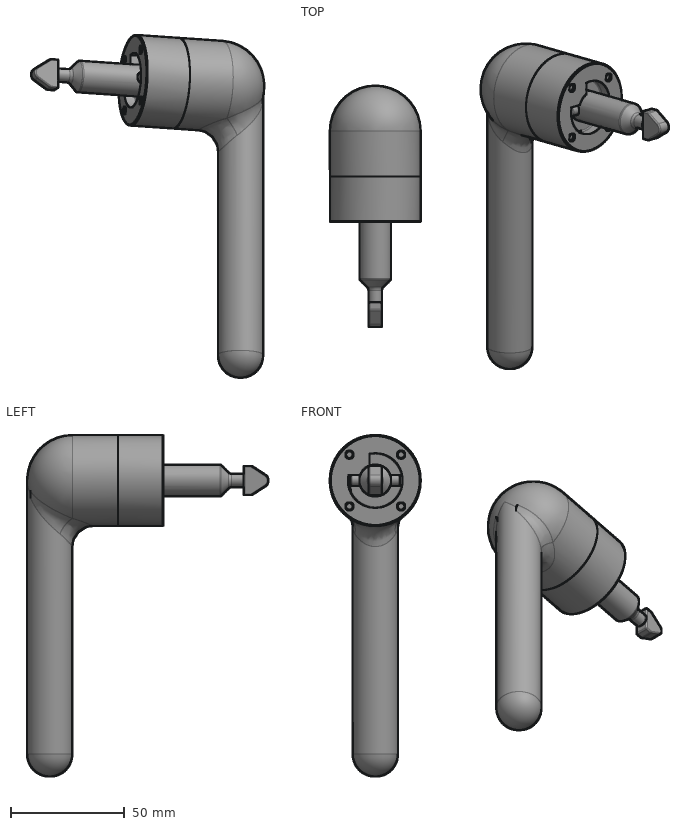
import cadquery as cq
import math

total_height = 150.0
total_length = 106.0
barrel_radius = 60 / 3
barrel_length = barrel_radius
collar_length = barrel_radius

grip_radius = barrel_radius / 2
grip_fillet = 9.0

shaft_radius = 7.0
shaft_reach = 25.0
shaft_edge_fillet = 0.8
neck_radius = 3.0
neck_fillet = 2.0
head_reach = 35.1
head_half_height = 6.5
head_thickness = 2 * neck_radius
head_tip_radius = 3.0
head_slope = math.radians(33)
head_corner_fillet = 1.5
head_edge_fillet = 0.6

pin_radius = 2.5
pin_half_length = 10.8
pin_edge_fillet = 0.5

collar_chamfer = 0.5
recess_radius = 12.0
recess_depth = 2 * pin_radius
recess_fillet = 0.5
screw_count = 4
screw_circle_radius = 16.0
screw_hole_radius = 1.5
screw_hole_depth = 0.9
screw_hole_chamfer = 0.3

dome_center_y = collar_length + barrel_length
dome_end_y = dome_center_y + barrel_radius
grip_center_y = dome_end_y - grip_radius
grip_end_z = barrel_radius - total_height + grip_radius
cone_end_y = -shaft_reach - (shaft_radius - neck_radius)
head_tip_y = dome_end_y - total_length

blend_margin = 1.5
blend_end_y = dome_end_y - blend_margin


def cylinder_y(radius, start, length):
    """Cylinder about the Y axis from y = start to y = start + length."""
    return cq.Workplane("XZ", origin=(0, start, 0)).circle(radius).extrude(-length)


def edges_at_y(y):
    """Selector for the edges whose centers lie in the plane at this y."""
    margin = 0.02
    reach = barrel_radius
    return cq.selectors.BoxSelector((-reach, y - margin, -reach), (reach, y + margin, reach))


def make_grip_body():
    """Barrel with a domed end, and the grip blended into its underside."""
    barrel = cylinder_y(barrel_radius, collar_length, barrel_length)
    ball = cq.Workplane("XY").sphere(barrel_radius).translate((0, dome_center_y, 0))
    dome = ball.intersect(cylinder_y(barrel_radius, dome_center_y, barrel_radius))
    grip = (
        cq.Workplane("XY", origin=(0, grip_center_y, grip_end_z))
        .circle(grip_radius)
        .extrude(-grip_end_z)
    )
    body = barrel.union(dome).union(grip)
    blend_space = cq.Workplane("XY").box(
        4 * barrel_radius, blend_end_y, 3 * total_height, centered=(True, False, True)
    )
    blended = body.intersect(blend_space)
    blended = blended.edges("not(%LINE or %CIRCLE)").fillet(grip_fillet)
    grip_tip = cq.Workplane("XY").sphere(grip_radius).translate((0, grip_center_y, grip_end_z))
    return body.union(blended).union(grip_tip)


def make_shaft():
    """Round shaft that tapers at 45 degrees to the neck."""
    profile = (
        cq.Workplane("XY")
        .moveTo(0, collar_length)
        .lineTo(shaft_radius, collar_length)
        .lineTo(shaft_radius, -shaft_reach)
        .lineTo(neck_radius, cone_end_y)
        .lineTo(neck_radius, -head_reach)
        .lineTo(0, -head_reach)
        .close()
    )
    shaft = profile.revolve(360, (0, 0, 0), (0, 1, 0))
    shaft = shaft.edges(edges_at_y(cone_end_y)).fillet(neck_fillet)
    return shaft.edges(edges_at_y(-shaft_reach)).fillet(shaft_edge_fillet)


def make_head():
    """Flat arrowhead with a round tip."""
    slope_end_y = head_tip_y + head_tip_radius * (1 - math.sin(head_slope))
    slope_end_z = head_tip_radius * math.cos(head_slope)
    corner_y = slope_end_y + (head_half_height - slope_end_z) / math.tan(head_slope)
    head = (
        cq.Workplane("YZ")
        .moveTo(-head_reach, -head_half_height)
        .lineTo(corner_y, -head_half_height)
        .lineTo(slope_end_y, -slope_end_z)
        .threePointArc((head_tip_y, 0), (slope_end_y, slope_end_z))
        .lineTo(corner_y, head_half_height)
        .lineTo(-head_reach, head_half_height)
        .close()
        .extrude(head_thickness / 2, both=True)
    )
    head = head.edges("|X").edges(edges_at_y(corner_y)).fillet(head_corner_fillet)
    return head.faces("<X or >X or >Y").edges().fillet(head_edge_fillet)


def make_cross_pin():
    """Pin across the shaft with rounded ends."""
    pin = (
        cq.Workplane("YZ", origin=(0, pin_radius, 0))
        .circle(pin_radius)
        .extrude(pin_half_length, both=True)
    )
    return pin.faces("<X or >X").edges().fillet(pin_edge_fillet)


def make_handle():
    """Turning body: grip, shaft, head and cross pin in one piece."""
    return make_grip_body().union(make_shaft()).union(make_head()).union(make_cross_pin())


def make_recess():
    """Space for the cross pin: a disc less the quarter that stays as the stop block."""
    stop = (
        cq.Workplane("XY")
        .box(recess_radius, recess_depth, recess_radius, centered=False)
        .translate((-recess_radius - pin_radius, 0, pin_radius))
    )
    recess = cylinder_y(recess_radius, 0, recess_depth).cut(stop)
    rim = cq.selectors.RadiusNthSelector(-1)
    return recess.faces(">Y").edges(rim).fillet(recess_fillet)


def make_screw_hole(angle):
    """Chamfered blind hole in the collar face."""
    hole = cylinder_y(screw_hole_radius, 0, screw_hole_depth)
    mouth = cq.Solid.makeCone(
        screw_hole_radius + screw_hole_chamfer,
        screw_hole_radius,
        screw_hole_chamfer,
        pnt=cq.Vector(0, 0, 0),
        dir=cq.Vector(0, 1, 0),
    )
    x = screw_circle_radius * math.cos(angle)
    z = screw_circle_radius * math.sin(angle)
    return hole.union(cq.Workplane(mouth)).translate((x, 0, z))


def make_collar():
    """Collar around the shaft, in front of the barrel."""
    collar = cylinder_y(barrel_radius, 0, collar_length).faces("<Y").chamfer(collar_chamfer)
    collar = collar.cut(cylinder_y(shaft_radius, 0, collar_length)).cut(make_recess())
    for index in range(screw_count):
        angle = 2 * math.pi * (index + 0.5) / screw_count
        collar = collar.cut(make_screw_hole(angle))
    return collar


handle = make_handle()
collar = make_collar()
result = cq.Compound.makeCompound([handle.val(), collar.val()])